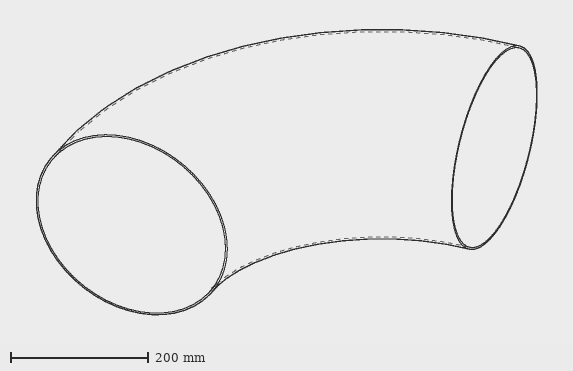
import cadquery as cq

overall_length = 553.0
pipe_diameter = 306.0
wall_thickness = 3.0
bend_angle = 90.0

outer_radius = pipe_diameter / 2
inner_radius = outer_radius - wall_thickness
bend_radius = overall_length - outer_radius

section = (
    cq.Workplane("XZ")
    .center(-bend_radius, 0)
    .circle(outer_radius)
    .circle(inner_radius)
)

axis_start = (bend_radius, 0)
axis_end = (bend_radius, -1)
result = section.revolve(bend_angle, axis_start, axis_end)